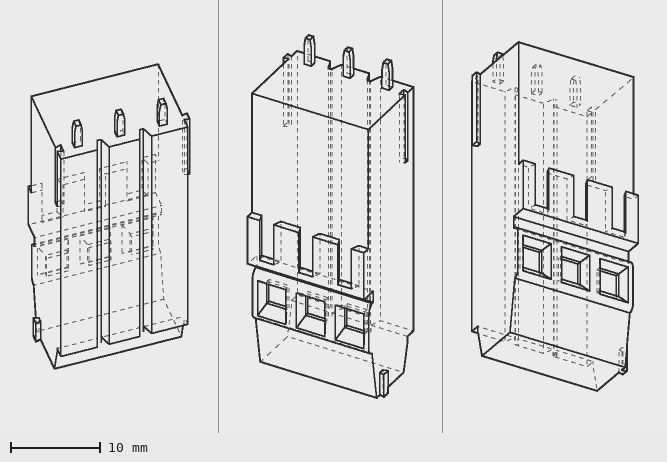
import cadquery as cq
import math


WAY_COUNT = 3
PITCH = 5.0
BODY_WIDTH = 15.0
WAY_CENTRES = [(i - (WAY_COUNT - 1) / 2) * PITCH for i in range(WAY_COUNT)]
GAP_CENTRES = [(i - (WAY_COUNT - 2) / 2) * PITCH for i in range(WAY_COUNT - 1)]

TOTAL_DEPTH = 11.15
FRONT_X = 1.0
LOWER_FRONT_X = 1.12
NOSE_FRONT_X = 2.85
NOSE_BACK_X = 8.95
BACK_STEP_X = 9.82

TOTAL_HEIGHT = 40.1
BODY_TOP = 36.65
TAB_TOP = 20.85
TAB_BOTTOM = 14.6
SHOULDER_TOP = 13.1
SHOULDER_RADIUS = 1.25
SHOULDER_START_Z = 12.0
NOTCH_X = 2.1
LOWER_FRONT_BOTTOM = 7.3
CHIN_RADIUS = 0.8
CHIN_END_X = 1.8
BACK_STEP_Z = 4.3
BACK_TAPER_TOP = 3.55

SLOT_BOTTOM = 15.55
SLOT_FACE_WIDTH = 1.75
SLOT_ROOT_WIDTH = 2.5

FUNNEL_BOTTOM = LOWER_FRONT_BOTTOM
FUNNEL_TOP = 11.9
FUNNEL_WIDTH = 3.65
FUNNEL_DEPTH = 1.12
POCKET_BOTTOM = 8.5
POCKET_TOP = 11.43
POCKET_WIDTH = 2.55
POCKET_DEPTH = 0.5

BACK_GROOVE_MOUTH = 1.4
BACK_GROOVE_FLOOR = 0.45
BACK_GROOVE_DEPTH = 1.35

PIN_X = 9.6
PIN_THICKNESS = 0.8
PIN_WIDTH = 0.92
PIN_TIP_WIDTH = 0.6
PIN_TIP_LENGTH = 1.0

OVERALL_WIDTH = 16.2
RIB_HEIGHT = (OVERALL_WIDTH - BODY_WIDTH) / 2
RIB_ROOT_WIDTH = 0.6
RIB_OUTER_WIDTH = 0.95
UPPER_RIB_BOTTOM = 27.63
LOWER_RIB_X = 3.9
LOWER_RIB_TOP = 2.95
SIDE_GROOVE_MOUTH = 0.55
SIDE_GROOVE_FLOOR = 1.0
SIDE_GROOVE_DEPTH = 0.7


def upright_trapezoid(corners, bottom, top):
    """Prism standing on Z = bottom, with an outline given as (X, Y) corners."""
    return cq.Workplane("XY", origin=(0, 0, bottom)).polyline(corners).close().extrude(top - bottom)


def dovetail(x, start_y, end_y, start_width, end_width, bottom, top):
    """Upright prism that changes width along Y."""
    corners = [
        (x - start_width / 2, start_y),
        (x + start_width / 2, start_y),
        (x + end_width / 2, end_y),
        (x - end_width / 2, end_y),
    ]
    return upright_trapezoid(corners, bottom, top)


def channel(y, start_x, end_x, start_width, end_width, bottom, top):
    """Upright prism that changes width along X."""
    corners = [
        (start_x, y - start_width / 2),
        (end_x, y - end_width / 2),
        (end_x, y + end_width / 2),
        (start_x, y + start_width / 2),
    ]
    return upright_trapezoid(corners, bottom, top)


def front_arc_point(radius, start_z, angle):
    """(X, Z) point on an arc that leaves the lower front face tangentially at start_z."""
    return (LOWER_FRONT_X + radius * (1 - math.cos(angle)), start_z + radius * math.sin(angle))


def housing():
    """Side outline extruded across the row of ways."""
    shoulder_angle = math.asin((SHOULDER_TOP - SHOULDER_START_Z) / SHOULDER_RADIUS)
    chin_angle = math.acos(1 - (CHIN_END_X - LOWER_FRONT_X) / CHIN_RADIUS)
    shoulder_middle = front_arc_point(SHOULDER_RADIUS, SHOULDER_START_Z, shoulder_angle / 2)
    shoulder_end = front_arc_point(SHOULDER_RADIUS, SHOULDER_START_Z, shoulder_angle)
    chin_middle = front_arc_point(CHIN_RADIUS, LOWER_FRONT_BOTTOM, -chin_angle / 2)
    chin_end = front_arc_point(CHIN_RADIUS, LOWER_FRONT_BOTTOM, -chin_angle)
    return (
        cq.Workplane("XZ")
        .moveTo(NOSE_FRONT_X, 0)
        .lineTo(NOSE_BACK_X, 0)
        .lineTo(BACK_STEP_X, BACK_TAPER_TOP)
        .lineTo(BACK_STEP_X, BACK_STEP_Z)
        .lineTo(TOTAL_DEPTH, BACK_STEP_Z)
        .lineTo(TOTAL_DEPTH, BODY_TOP)
        .lineTo(FRONT_X, BODY_TOP)
        .lineTo(FRONT_X, TAB_TOP)
        .lineTo(0, TAB_TOP)
        .lineTo(0, TAB_BOTTOM)
        .lineTo(NOTCH_X, TAB_BOTTOM)
        .lineTo(NOTCH_X, SHOULDER_TOP)
        .lineTo(*shoulder_end)
        .threePointArc(shoulder_middle, (LOWER_FRONT_X, SHOULDER_START_Z))
        .lineTo(LOWER_FRONT_X, LOWER_FRONT_BOTTOM)
        .threePointArc(chin_middle, chin_end)
        .close()
        .extrude(BODY_WIDTH / 2, both=True)
    )


def wire_window(y):
    """Funnel and straight pocket sunk into the lower front face."""
    funnel_z = (FUNNEL_BOTTOM + FUNNEL_TOP) / 2
    pocket_z = (POCKET_BOTTOM + POCKET_TOP) / 2
    pocket_height = POCKET_TOP - POCKET_BOTTOM
    funnel = (
        cq.Workplane("YZ", origin=(LOWER_FRONT_X, y, funnel_z))
        .rect(FUNNEL_WIDTH, FUNNEL_TOP - FUNNEL_BOTTOM)
        .workplane(offset=FUNNEL_DEPTH)
        .center(0, pocket_z - funnel_z)
        .rect(POCKET_WIDTH, pocket_height)
        .loft(ruled=True)
    )
    pocket = (
        cq.Workplane("YZ", origin=(LOWER_FRONT_X + FUNNEL_DEPTH, y, pocket_z))
        .rect(POCKET_WIDTH, pocket_height)
        .extrude(POCKET_DEPTH)
    )
    return funnel.union(pocket)


def solder_pin(y):
    """Flat pin whose end narrows along Y only."""
    shoulder_z = TOTAL_HEIGHT - PIN_TIP_LENGTH
    return (
        cq.Workplane("YZ", origin=(PIN_X, y, 0))
        .moveTo(-PIN_WIDTH / 2, BODY_TOP)
        .lineTo(PIN_WIDTH / 2, BODY_TOP)
        .lineTo(PIN_WIDTH / 2, shoulder_z)
        .lineTo(PIN_TIP_WIDTH / 2, TOTAL_HEIGHT)
        .lineTo(-PIN_TIP_WIDTH / 2, TOTAL_HEIGHT)
        .lineTo(-PIN_WIDTH / 2, shoulder_z)
        .close()
        .extrude(PIN_THICKNESS / 2, both=True)
    )


result = housing()

for way_y in WAY_CENTRES:
    slot = channel(way_y, 0, FRONT_X, SLOT_FACE_WIDTH, SLOT_ROOT_WIDTH, SLOT_BOTTOM, TAB_TOP)
    result = result.cut(slot).cut(wire_window(way_y)).union(solder_pin(way_y))

for gap_y in GAP_CENTRES:
    back_groove = channel(
        gap_y, TOTAL_DEPTH, TOTAL_DEPTH - BACK_GROOVE_DEPTH, BACK_GROOVE_MOUTH, BACK_GROOVE_FLOOR, 0, BODY_TOP
    )
    result = result.cut(back_groove)

SIDE_Y = BODY_WIDTH / 2
upper_rib = dovetail(
    PIN_X, SIDE_Y, SIDE_Y + RIB_HEIGHT, RIB_ROOT_WIDTH, RIB_OUTER_WIDTH, UPPER_RIB_BOTTOM, BODY_TOP
)
side_groove = dovetail(
    PIN_X,
    -SIDE_Y,
    -SIDE_Y + SIDE_GROOVE_DEPTH,
    SIDE_GROOVE_MOUTH,
    SIDE_GROOVE_FLOOR,
    UPPER_RIB_BOTTOM,
    BODY_TOP,
)
lower_rib = dovetail(
    LOWER_RIB_X, -SIDE_Y, -SIDE_Y - RIB_HEIGHT, RIB_ROOT_WIDTH, RIB_OUTER_WIDTH, 0, LOWER_RIB_TOP
)
result = result.union(upper_rib).cut(side_groove).union(lower_rib)